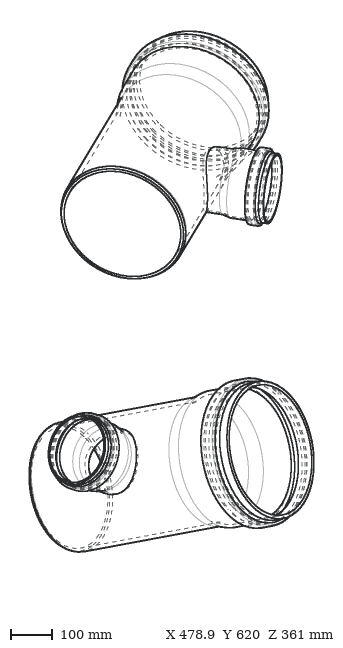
import cadquery as cq
import math

LENGTH = 620.0
MAIN_ORIGIN = (0, 0, 0)
MAIN_AXIS = (0, 1, 0)
SPIGOT_FACE_OD = 309.0
SPIGOT_BREAK_OD = 315.5
SPIGOT_BREAK_Y = 6.0
SPIGOT_EDGE_END_Y = 10.0

BRANCH_ORIGIN = (0, 247.5, 0)
BRANCH_TILT = math.radians(2.5)
BRANCH_LENGTH = 295.0
BRANCH_AXIS = (math.cos(BRANCH_TILT), math.sin(BRANCH_TILT), 0)

MAIN = dict(
    pipe_od=317.0, pipe_id=295.0, socket_od=335.0, socket_id=317.5, ring_od=361.0, groove_id=343.5,
    lip_cone_od=345.0, lip_end=22.5, ring_front=32.0, ring_back=72.0,
    socket_end=150.0, taper_end=186.5, ring_round=4.0,
)
BRANCH = dict(
    pipe_od=160.0, pipe_id=150.0, socket_od=170.5, socket_id=161.0, ring_od=189.0, groove_id=179.0,
    lip_cone_od=175.5, lip_end=12.0, ring_front=19.0, ring_back=44.5,
    socket_end=92.0, taper_end=111.0, ring_round=3.0,
)


def revolve_along(profile, origin, axis):
    """Revolve a closed (radius, distance) profile about a line in the XY plane."""
    radial = (axis[1], -axis[0], 0)
    plane = cq.Plane(origin=origin, xDir=radial, normal=(0, 0, 1))
    solid = profile.close().revolve(360, (0, 0, 0), (0, 1, 0))
    return solid.val().moved(cq.Location(plane))


def outer_body(size, start_points, length, origin, axis):
    """Solid outside shape: pipe, taper, socket, rounded sealing ring and lip.

    start_points are the (radius, distance) corners where the pipe begins.
    """
    pipe_r = size["pipe_od"] / 2
    socket_r = size["socket_od"] / 2
    ring_r = size["ring_od"] / 2
    lip_cone_r = size["lip_cone_od"] / 2
    rounding = size["ring_round"]
    back = length - size["ring_back"]
    front = length - size["ring_front"]
    arc_inset = rounding * (1 - math.sqrt(0.5))
    profile = (
        cq.Workplane("XY")
        .polyline([
            (0, 0),
            *start_points,
            (pipe_r, length - size["taper_end"]),
            (socket_r, length - size["socket_end"]),
            (socket_r, back),
            (ring_r - rounding, back),
        ])
        .threePointArc((ring_r - arc_inset, back + arc_inset), (ring_r, back + rounding))
        .lineTo(ring_r, front - rounding)
        .threePointArc((ring_r - arc_inset, front - arc_inset), (ring_r - rounding, front))
        .lineTo(lip_cone_r, front)
        .lineTo(socket_r, length - size["lip_end"])
        .lineTo(socket_r, length)
        .lineTo(0, length)
    )
    return cq.Workplane(revolve_along(profile, origin, axis))


def inner_bore(size, length, origin, axis):
    """Inside space: pipe bore, taper, socket bore and seal groove under the ring."""
    bore_r = size["pipe_id"] / 2
    socket_r = size["socket_id"] / 2
    groove_r = size["groove_id"] / 2
    wall = (size["ring_od"] - size["groove_id"]) / 2
    groove_back = length - size["ring_back"] + wall
    groove_front = length - size["ring_front"] - wall
    profile = cq.Workplane("XY").polyline([
        (0, 0),
        (bore_r, 0),
        (bore_r, length - size["taper_end"]),
        (socket_r, length - size["socket_end"]),
        (socket_r, groove_back),
        (groove_r, groove_back),
        (groove_r, groove_front),
        (socket_r, groove_front),
        (socket_r, length),
        (0, length),
    ])
    return cq.Workplane(revolve_along(profile, origin, axis))


def main_outside():
    """Main body whose spigot edge narrows to the end face in two steps."""
    spigot_edge = [
        (SPIGOT_FACE_OD / 2, 0),
        (SPIGOT_BREAK_OD / 2, SPIGOT_BREAK_Y),
        (MAIN["pipe_od"] / 2, SPIGOT_EDGE_END_Y),
    ]
    return outer_body(MAIN, spigot_edge, LENGTH, MAIN_ORIGIN, MAIN_AXIS)


def branch_outside():
    """Branch body starting square on the main axis, inside the main pipe."""
    square_start = [(BRANCH["pipe_od"] / 2, 0)]
    return outer_body(BRANCH, square_start, BRANCH_LENGTH, BRANCH_ORIGIN, BRANCH_AXIS)


outside = main_outside().union(branch_outside())
main_bore = inner_bore(MAIN, LENGTH, MAIN_ORIGIN, MAIN_AXIS)
branch_bore = inner_bore(BRANCH, BRANCH_LENGTH, BRANCH_ORIGIN, BRANCH_AXIS)

result = outside.cut(main_bore).cut(branch_bore)